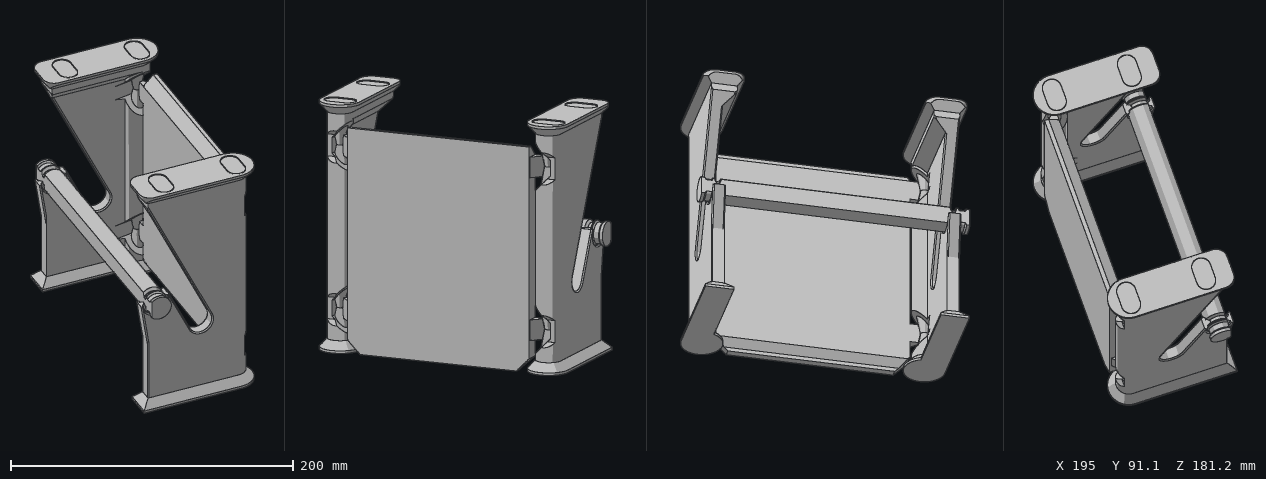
import cadquery as cq
import math

total_width = 195.0
height = 181.2
post_x = 81.0
post_radius = 9.4
foot_radius = 15.0
flare = foot_radius - post_radius
flare_height = 6.0
plate_thickness = 2.0
front_y = -70.5

outer_x = post_x + post_radius
wall_middle_x = post_x + post_radius / 2
ledge_top = height - plate_thickness - flare_height
ledge_bottom = 168.0
edge_chamfer = 1.0
front_chamfer = 0.5
plate_corner_radius = 8.5

slot_angle = math.radians(25.6)
slot_radius = 9.0
slot_y = -29.5
slot_z = 61.5
roller_y = -64.7
roller_z = 87.2
lip_root_z = 52.6
lip_y = -75.7
lip_z = 86.4
crest_z = 91.8
cradle_radius = 9.2
rib_radius = 7.0
rib_tip_half_width = 1.0
rib_root_half_width = 2.3

pad_length = 24.2
pad_width = 13.6
pad_depth = 0.8
pad_places = (0.0, -56.2)

roller_radius = 9.0
neck_radius = 6.8
collar_radius = 7.8
flat_offset = 6.2
end_disc_width = 2.3
ridge_width = 0.8
neck_half_width = 1.2
groove_half_width = 2.5

hinge_heights = (30.5, 149.0)
neck_waist_radius = 2.7
neck_taper = 0.2
notch_half_height = 8.5
notch_turn = 10
notch_depth = 3.0
back_notch_half_height = 8.0
notch_back_y = 5.7
hinge_clearance = 0.2
panel_half_width = 70.5
panel_back = 11.0
panel_top = 164.2
panel_bevel_start = 156.4
panel_bottom_bevel_start = 8.4
panel_bottom_bevel = 5.5
panel_corner = 10.0
ear_height = 15.0
ear_tip_x = 80.0


def make_foot():
    foot_height = plate_thickness + flare_height
    wall_foot = (
        cq.Workplane("XY")
        .rect(post_radius + 2 * flare, front_y * -1 + flare)
        .extrude(foot_height)
        .translate((-wall_middle_x, (front_y - flare) / 2, 0))
        .faces(">Z").edges("<Y or <X or >X").chamfer(flare_height, flare)
    )
    post_foot = (
        cq.Workplane("XY").center(-post_x, 0).circle(foot_radius).extrude(foot_height)
        .faces(">Z").chamfer(flare_height, flare)
    )
    return wall_foot.union(post_foot)


def make_top_plate():
    back_radius = foot_radius
    front = front_y - flare
    plate = (
        cq.Workplane("XY", origin=(-post_x, 0, ledge_top))
        .moveTo(-back_radius, front)
        .lineTo(-back_radius, 0)
        .threePointArc((0, back_radius), (back_radius, 0))
        .lineTo(back_radius, front)
        .close()
        .extrude(height - ledge_top)
        .faces("<Z").chamfer(flare_height, flare)
    )
    rounding = (
        cq.Workplane("XY", origin=(-post_x, 0, ledge_top))
        .rect(2 * foot_radius, -2 * front)
        .extrude(height - ledge_top)
        .edges("|Z and <Y").fillet(plate_corner_radius)
    )
    plate = plate.intersect(rounding)
    pads = (
        cq.Workplane("XY", origin=(-post_x, 0, height - pad_depth))
        .pushPoints([(0, y) for y in pad_places])
        .slot2D(pad_length, pad_width)
        .extrude(pad_depth)
    )
    return plate.cut(pads)


def slot_point(along, across):
    """Point (y, z) reached from the slot centre, along the slot and across it to the back."""
    return (
        slot_y - along * math.sin(slot_angle) + across * math.cos(slot_angle),
        slot_z + along * math.cos(slot_angle) + across * math.sin(slot_angle),
    )


def make_wall():
    back_start = slot_point(0, slot_radius)
    front_start = slot_point(0, -slot_radius)
    slot_bottom = slot_point(-slot_radius, 0)
    slant_top_z = back_start[1] + (back_start[0] - front_y) / math.tan(slot_angle)
    crest_y = front_start[0] - (crest_z - front_start[1]) * math.tan(slot_angle)
    side = (
        cq.Workplane("YZ", origin=(-outer_x, 0, 0))
        .moveTo(0, 0)
        .lineTo(front_y, 0)
        .lineTo(front_y, lip_root_z)
        .lineTo(lip_y, lip_z)
        .lineTo(roller_y, lip_z)
        .lineTo(roller_y, crest_z)
        .lineTo(crest_y, crest_z)
        .lineTo(*front_start)
        .threePointArc(slot_bottom, back_start)
        .lineTo(front_y, slant_top_z)
        .lineTo(front_y, ledge_top)
        .lineTo(0, ledge_top)
        .close()
        .extrude(2 * post_radius)
    )
    wall = side.intersect(make_slab(outer_x, post_x, 0, ledge_top))
    slot_zone = cq.selectors.BoxSelector(
        (-outer_x - flare, front_y - flare, slot_z - 2 * slot_radius),
        (-post_x + flare, -flare, ledge_top),
    )
    wall = wall.edges(slot_zone).edges("not (|X or |Y or |Z)").chamfer(edge_chamfer)
    outer_front_edge = cq.selectors.NearestToPointSelector((-outer_x, front_y, lip_root_z / 2))
    wall = wall.edges("|Z").edges(outer_front_edge).chamfer(front_chamfer)
    return wall.union(make_ledge(side))


def make_slab(outer, inner, bottom, top):
    """Block between two distances left of the middle, spanning the full depth of the wall."""
    return (
        cq.Workplane("XZ")
        .polyline([(-outer, bottom), (-inner, bottom), (-inner, top), (-outer, top)])
        .close()
        .extrude(-lip_y)
    )


def make_ledge(side):
    """Ledge under the top plate that widens the wall to the post's full width."""
    root_z = ledge_bottom - post_radius * 1.5
    section = (
        cq.Workplane("XZ")
        .moveTo(-wall_middle_x, root_z)
        .lineTo(-post_x + post_radius, ledge_bottom)
        .lineTo(-post_x + post_radius, ledge_top)
        .lineTo(-wall_middle_x, ledge_top)
        .close()
        .extrude(-front_y)
    )
    ledge = side.intersect(section)
    return ledge.edges("not (|X or |Y or |Z)").edges(">X").chamfer(edge_chamfer)


def make_cradle_cutter():
    """Round seat for the roller, with a rib in the middle of the wall."""
    half_wall = post_radius / 2
    mouth_radius = cradle_radius + edge_chamfer
    left_half = [
        (-half_wall, 0),
        (-half_wall, mouth_radius),
        (-half_wall + edge_chamfer, cradle_radius),
        (-rib_root_half_width, cradle_radius),
        (-rib_tip_half_width, rib_radius),
    ]
    right_half = [(-x, radius) for x, radius in reversed(left_half)]
    return (
        cq.Workplane("XY", origin=(-wall_middle_x, roller_y, roller_z))
        .polyline(left_half + right_half)
        .close()
        .revolve(360, (0, 0, 0), (1, 0, 0))
    )


def hinge_neck(z, clearance):
    """Waisted round neck on the post axis at height z."""
    half = notch_half_height + post_radius
    waist = neck_waist_radius + clearance
    end = waist + neck_taper * half
    return (
        cq.Workplane("XZ", origin=(-post_x, 0, z))
        .polyline([(0, -half), (end, -half), (waist, 0), (end, half), (0, half)])
        .close()
        .revolve(360, (0, 0, 0), (0, 1, 0))
    )


def flared_groove(plane, origin, floor, floor_half_height, length):
    """Groove whose floor lies at the given depth and whose flanks open at 45 degrees."""
    opening = post_radius + flare
    half_height = floor_half_height + opening - floor
    profile = [
        (floor, -floor_half_height),
        (opening, -half_height),
        (opening, half_height),
        (floor, floor_half_height),
    ]
    return cq.Workplane(plane, origin=origin).polyline(profile).close().extrude(length, both=True)


def hinge_notch(z):
    """Clearance for a panel ear: one groove from the inner side and one from the back."""
    axis = (-post_x, 0, z)
    above_axis = (-post_x, 0, z + 2)
    reach = 3 * post_radius
    inner = flared_groove("XZ", axis, -notch_depth, notch_half_height - notch_depth, reach)
    inner = inner.rotate(axis, above_axis, notch_turn)
    back = flared_groove("YZ", axis, notch_back_y, back_notch_half_height, post_radius)
    return inner.union(back).cut(hinge_neck(z, 0))


def make_left_frame():
    post = cq.Workplane("XY").center(-post_x, 0).circle(post_radius).extrude(ledge_top)
    frame = post.union(make_wall().cut(make_cradle_cutter()))
    for z in hinge_heights:
        frame = frame.cut(hinge_notch(z))
    return frame.union(make_foot()).union(make_top_plate())


def make_roller():
    half = total_width / 2
    collar_rise = roller_radius - collar_radius
    collar_start = half - end_disc_width
    ridge_start = wall_middle_x + groove_half_width
    ridge_end = ridge_start + ridge_width
    right_profile = [
        (wall_middle_x - groove_half_width, roller_radius),
        (wall_middle_x - neck_half_width, neck_radius),
        (wall_middle_x + neck_half_width, neck_radius),
        (ridge_start, roller_radius),
        (ridge_end, roller_radius),
        (ridge_end + collar_rise, collar_radius),
        (collar_start - collar_rise, collar_radius),
        (collar_start, roller_radius),
        (half, roller_radius),
        (half, 0),
    ]
    left_profile = [(-x, r) for x, r in reversed(right_profile)]
    roller = (
        cq.Workplane("XY", origin=(0, roller_y, roller_z))
        .polyline(left_profile + right_profile)
        .close()
        .revolve(360, (0, 0, 0), (1, 0, 0))
    )
    keep = cq.Workplane("XY").box(
        total_width, 2 * roller_radius, 2 * roller_radius
    ).translate((0, roller_y + roller_radius - flat_offset, roller_z))
    return roller.intersect(keep)


def make_panel():
    top_bevel = panel_top - panel_bevel_start
    panel = (
        cq.Workplane("YZ", origin=(-panel_half_width, 0, 0))
        .moveTo(panel_bottom_bevel, 0)
        .lineTo(panel_bottom_bevel, panel_bottom_bevel_start - panel_bottom_bevel)
        .lineTo(0, panel_bottom_bevel_start)
        .lineTo(0, panel_bevel_start)
        .lineTo(top_bevel, panel_top)
        .lineTo(panel_back, panel_top)
        .lineTo(panel_back, 0)
        .close()
        .extrude(2 * panel_half_width)
    )
    corner = (
        cq.Workplane("XZ")
        .polyline([
            (-panel_half_width, 0),
            (-panel_half_width, panel_corner),
            (-panel_half_width + panel_corner, 0),
        ])
        .close()
        .extrude(-panel_back)
    )
    panel = panel.cut(corner).cut(corner.mirror("YZ"))
    for z in hinge_heights:
        ear = make_ear(z)
        panel = panel.union(ear).union(ear.mirror("YZ"))
    return panel


def make_ear(z):
    """Left ear, tapering at 45 degrees to the hinge neck that it bears on."""
    ear = (
        cq.Workplane("XY", origin=(0, 0, z - ear_height / 2))
        .moveTo(-ear_tip_x + panel_back, 0)
        .lineTo(-ear_tip_x, 0)
        .lineTo(-ear_tip_x + panel_back, panel_back)
        .close()
        .extrude(ear_height)
    )
    return ear.cut(hinge_neck(z, hinge_clearance))


left_frame = make_left_frame()
right_frame = left_frame.mirror("YZ")
roller = make_roller()
panel = make_panel()

result = cq.Compound.makeCompound([left_frame.val(), right_frame.val(), roller.val(), panel.val()])